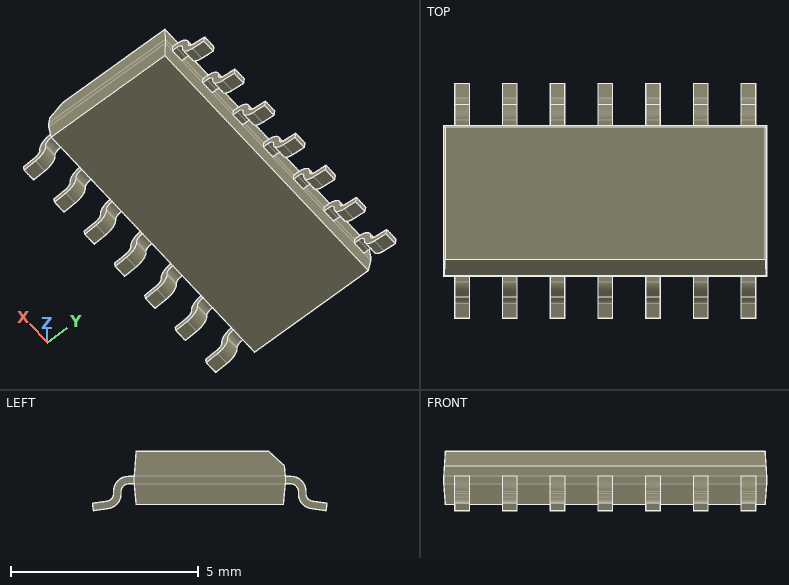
import cadquery as cq
import math

BODY_LENGTH = 8.6
SPAN_OVER_LEADS = 6.25
TOTAL_HEIGHT = 1.59

BODY_WIDTH = 4.025
BODY_HEIGHT = 1.43
UPPER_HEIGHT = 0.67
END_INSET = 0.04
SIDE_INSET = 0.05
BEVEL_SIZE = 0.395

LEADS_PER_SIDE = 7
LEAD_ROW_LENGTH = 7.62
LEAD_WIDTH = 0.395
LEAD_THICKNESS = 0.21
SHOULDER_LENGTH = 0.15
INNER_RADIUS = 0.2
FOOT_ANGLE = 8.0
LEAD_EMBED = 0.17

LEAD_PITCH = LEAD_ROW_LENGTH / (LEADS_PER_SIDE - 1)
OUTER_RADIUS = INNER_RADIUS + LEAD_THICKNESS
BAND_TOP = TOTAL_HEIGHT - UPPER_HEIGHT
BAND_BOTTOM = BAND_TOP - LEAD_THICKNESS
LOWER_HEIGHT = BODY_HEIGHT - UPPER_HEIGHT - LEAD_THICKNESS


def drafted_block(base_z, height):
    """Body block narrowing from base_z, upwards or (negative height) downwards."""
    return (
        cq.Workplane("XY")
        .workplane(offset=base_z)
        .rect(BODY_LENGTH, BODY_WIDTH)
        .workplane(offset=height)
        .rect(BODY_LENGTH - 2 * END_INSET, BODY_WIDTH - 2 * SIDE_INSET)
        .loft(ruled=True)
    )


def make_body():
    band = (
        cq.Workplane("XY")
        .workplane(offset=BAND_BOTTOM)
        .rect(BODY_LENGTH, BODY_WIDTH)
        .extrude(LEAD_THICKNESS)
    )
    lower = drafted_block(BAND_BOTTOM, -LOWER_HEIGHT)
    upper = drafted_block(BAND_TOP, UPPER_HEIGHT)
    upper = upper.faces(">Z").edges("<Y").chamfer(BEVEL_SIZE)
    return band.union(lower).union(upper)


def polar(center, radius, degrees):
    """Point at the given angle on a circle."""
    angle = math.radians(degrees)
    return (center[0] + radius * math.cos(angle), center[1] + radius * math.sin(angle))


def make_lead():
    """One lead on the +Y side, centred on X = 0."""
    root_y = BODY_WIDTH / 2 - LEAD_EMBED
    shoulder_y = BODY_WIDTH / 2 + SHOULDER_LENGTH
    slope = math.radians(FOOT_ANGLE)

    tip_top = (SPAN_OVER_LEADS / 2, LEAD_THICKNESS * math.cos(slope))
    tip_bottom = (tip_top[0] - LEAD_THICKNESS * math.sin(slope), 0.0)

    upper_bend = (shoulder_y, BAND_TOP - OUTER_RADIUS)

    lower_bend_y = shoulder_y + OUTER_RADIUS + INNER_RADIUS
    foot_end_angle = 270.0 - FOOT_ANGLE
    foot_start_y = polar((lower_bend_y, 0.0), INNER_RADIUS, foot_end_angle)[0]
    foot_start_z = tip_top[1] + (tip_top[0] - foot_start_y) * math.tan(slope)
    lower_bend_z = foot_start_z + INNER_RADIUS * math.cos(slope)
    lower_bend = (lower_bend_y, lower_bend_z)
    foot_mid_angle = (180.0 + foot_end_angle) / 2

    profile = (
        cq.Workplane("YZ")
        .moveTo(root_y, BAND_TOP)
        .lineTo(shoulder_y, BAND_TOP)
        .threePointArc(polar(upper_bend, OUTER_RADIUS, 45.0), polar(upper_bend, OUTER_RADIUS, 0.0))
        .lineTo(*polar(lower_bend, INNER_RADIUS, 180.0))
        .threePointArc(
            polar(lower_bend, INNER_RADIUS, foot_mid_angle),
            polar(lower_bend, INNER_RADIUS, foot_end_angle),
        )
        .lineTo(*tip_top)
        .lineTo(*tip_bottom)
        .lineTo(*polar(lower_bend, OUTER_RADIUS, foot_end_angle))
        .threePointArc(
            polar(lower_bend, OUTER_RADIUS, foot_mid_angle),
            polar(lower_bend, OUTER_RADIUS, 180.0),
        )
        .lineTo(*polar(upper_bend, INNER_RADIUS, 0.0))
        .threePointArc(polar(upper_bend, INNER_RADIUS, 45.0), polar(upper_bend, INNER_RADIUS, 90.0))
        .lineTo(root_y, BAND_BOTTOM)
        .close()
    )
    return profile.extrude(LEAD_WIDTH / 2, both=True)


result = make_body()
back_lead = make_lead()
front_lead = back_lead.mirror("XZ")
for index in range(LEADS_PER_SIDE):
    lead_x = (index - (LEADS_PER_SIDE - 1) / 2) * LEAD_PITCH
    for lead in (back_lead, front_lead):
        result = result.union(lead.translate((lead_x, 0, 0)))